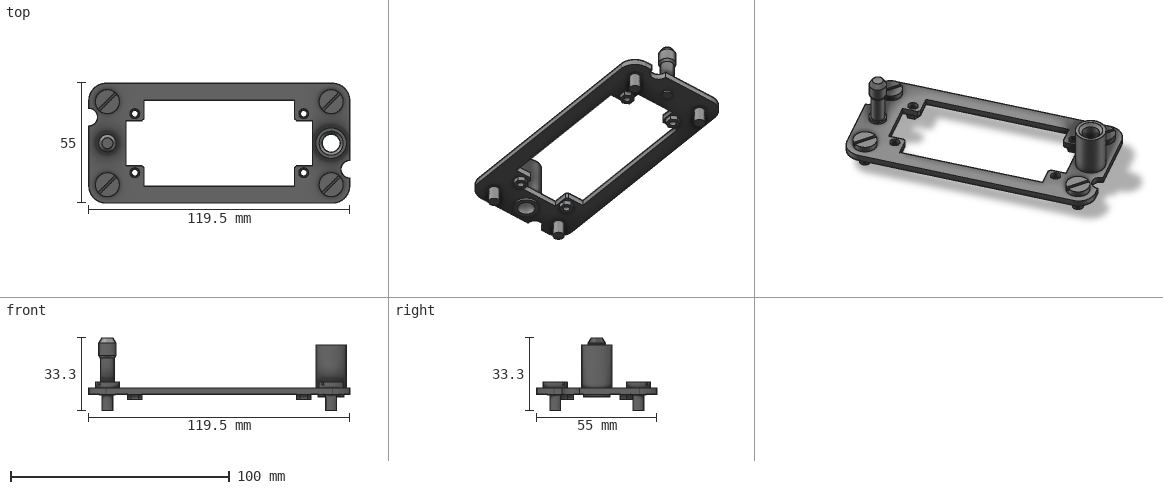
import cadquery as cq
import math


plate_length = 119.5
plate_width = 55.0
plate_thickness = 3.0
corner_radius = 8.0

window_length = 68.7
window_width = 39.2
window_arm_length = 85.2
window_arm_width = 20.4
tab_chamfer = 1.1

notch_diameter = 8.0
notch_offset_y = 12.0

nut_spacing_x = 77.3
nut_spacing_y = 27.0
nut_across_flats = 5.7
nut_height = 2.4
nut_bore_diameter = 3.0
nut_clearance_diameter = 4.5

screw_spacing_x = 102.4
screw_spacing_y = 38.0
guide_x = screw_spacing_x / 2
rivet_depth = 1.1

pin_collar_diameter = 8.1
pin_collar_top = 4.3
pin_stem_diameter = 6.5
pin_stem_top = 16.6
pin_head_diameter = 8.0
pin_head_bottom = 17.9
pin_head_top = 23.4
pin_tip_diameter = 5.0
pin_top = 25.9
pin_rivet_diameter = 4.9

bush_diameter = 14.0
bush_top = 22.7
bush_bore_diameter = 8.1
bush_mouth_diameter = 11.0
bush_mouth_depth = (bush_mouth_diameter - bush_bore_diameter) / 2
bush_rivet_diameter = 12.0

screw_head_diameter = 11.0
screw_head_height = 2.7
screw_shoulder_diameter = 7.0
screw_shoulder_depth = 0.2
screw_shank_diameter = 5.0
screw_bottom = -7.4
slot_width = 1.1
slot_depth = 1.4
slot_angle = 45.0


def grid_points(spacing_x, spacing_y):
    """Four points, one in each corner of a centred rectangle."""
    return [(sx * spacing_x / 2, sy * spacing_y / 2, 0) for sx in (-1, 1) for sy in (-1, 1)]


def cylinder(diameter, bottom, top):
    """Upright cylinder on the Z axis."""
    return cq.Workplane("XY").workplane(offset=bottom).circle(diameter / 2).extrude(top - bottom)


def make_window():
    """Cutter for the cross-shaped window, with the plate's four tab corners bevelled."""
    long_arm = cq.Workplane("XY").rect(window_arm_length, window_arm_width).extrude(plate_thickness)
    window = (
        cq.Workplane("XY")
        .rect(window_length, window_width)
        .extrude(plate_thickness)
        .union(long_arm)
    )
    bevel_side = tab_chamfer * math.sqrt(2)
    for corner in grid_points(window_length, window_arm_width):
        bevel = (
            cq.Workplane("XY")
            .rect(bevel_side, bevel_side)
            .extrude(plate_thickness)
            .rotate((0, 0, 0), (0, 0, 1), 45)
            .translate(corner)
        )
        window = window.union(bevel)
    return window


def make_plate():
    plate = (
        cq.Workplane("XY")
        .rect(plate_length, plate_width)
        .extrude(plate_thickness)
        .edges("|Z")
        .fillet(corner_radius)
        .cut(make_window())
    )
    notch = cylinder(notch_diameter, 0, plate_thickness)
    plate = plate.cut(notch.translate((-plate_length / 2, notch_offset_y, 0)))
    plate = plate.cut(notch.translate((plate_length / 2, -notch_offset_y, 0)))

    nut_clearance = cylinder(nut_clearance_diameter, 0, plate_thickness)
    for place in grid_points(nut_spacing_x, nut_spacing_y):
        plate = plate.cut(nut_clearance.translate(place))

    screw_hole = cylinder(screw_shoulder_diameter, 0, plate_thickness)
    for place in grid_points(screw_spacing_x, screw_spacing_y):
        plate = plate.cut(screw_hole.translate(place))
    return plate


def make_nut():
    """Hexagon with two corners on the X axis, hanging below the plate."""
    across_corners = nut_across_flats / math.cos(math.pi / 6)
    return (
        cq.Workplane("XY")
        .polygon(6, across_corners)
        .circle(nut_bore_diameter / 2)
        .extrude(-nut_height)
    )


def make_guide_pin():
    """Turned pin, revolved from its half section."""
    collar_radius = pin_collar_diameter / 2
    stem_radius = pin_stem_diameter / 2
    head_radius = pin_head_diameter / 2
    tip_radius = pin_tip_diameter / 2
    rivet_radius = pin_rivet_diameter / 2
    half_section = [
        (0, -rivet_depth),
        (rivet_radius, -rivet_depth),
        (rivet_radius, plate_thickness),
        (collar_radius, plate_thickness),
        (collar_radius, pin_collar_top),
        (stem_radius, pin_collar_top),
        (stem_radius, pin_stem_top),
        (head_radius, pin_head_bottom),
        (head_radius, pin_head_top),
        (tip_radius, pin_top),
        (0, pin_top),
    ]
    return cq.Workplane("XZ").polyline(half_section).close().revolve(360, (0, 0), (0, 1))


def make_guide_bush():
    """Bush with a riveted foot, before it is bored."""
    foot = cylinder(bush_rivet_diameter, -rivet_depth, plate_thickness)
    return foot.union(cylinder(bush_diameter, plate_thickness, bush_top))


def make_bush_bore():
    """Cutter for the through bore and its conical mouth."""
    bore_radius = bush_bore_diameter / 2
    mouth_radius = bush_mouth_diameter / 2
    half_section = [
        (0, -rivet_depth),
        (bore_radius, -rivet_depth),
        (bore_radius, bush_top - bush_mouth_depth),
        (mouth_radius, bush_top),
        (0, bush_top),
    ]
    return cq.Workplane("XZ").polyline(half_section).close().revolve(360, (0, 0), (0, 1))


def make_frame():
    """Plate with its nuts, guide pin and guide bush fixed to it as one body."""
    frame = make_plate()
    nut = make_nut()
    for place in grid_points(nut_spacing_x, nut_spacing_y):
        frame = frame.union(nut.translate(place))
    frame = frame.union(make_guide_pin().translate((-guide_x, 0, 0)))
    frame = frame.union(make_guide_bush().translate((guide_x, 0, 0)))
    return frame.cut(make_bush_bore().translate((guide_x, 0, 0)))


def make_screw(place):
    """Slotted screw whose shoulder fills the hole in the plate."""
    head_top = plate_thickness + screw_head_height
    screw = cylinder(screw_head_diameter, plate_thickness, head_top)
    screw = screw.union(cylinder(screw_shoulder_diameter, -screw_shoulder_depth, plate_thickness))
    screw = screw.union(cylinder(screw_shank_diameter, screw_bottom, -screw_shoulder_depth))
    slot = (
        cq.Workplane("XY")
        .workplane(offset=head_top - slot_depth)
        .rect(screw_head_diameter, slot_width)
        .extrude(slot_depth)
        .rotate((0, 0, 0), (0, 0, 1), slot_angle)
    )
    return screw.cut(slot).translate(place)


frame = make_frame()
screws = [make_screw(place) for place in grid_points(screw_spacing_x, screw_spacing_y)]

result = cq.Compound.makeCompound([frame.val(), *[screw.val() for screw in screws]])